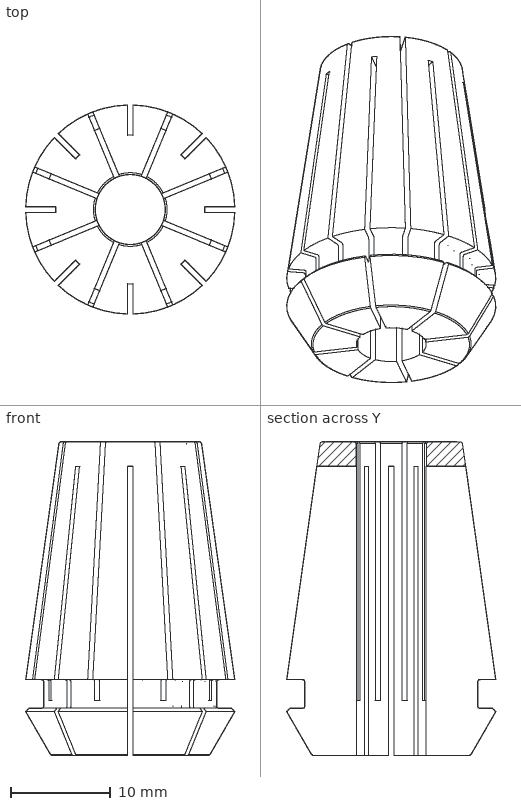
import cadquery as cq
import math

length = 31.5
max_radius = 10.5
bore_radius = 3.5

taper_half_angle = 8.0
taper_start_z = 7.6
top_fillet = 0.3
bore_chamfer = 0.2

head_half_angle = 30.0
head_height = 4.75
head_chamfer = 0.35
head_bottom_chamfer = 0.1
groove_radius = 8.7
groove_fillet = 0.2

slots_per_end = 8
slot_pitch = 360.0 / slots_per_end
slot_width = 0.55
bottom_slot_bridge = 2.5
bottom_slot_end_z = length - bottom_slot_bridge
top_slot_end_z = 5.5
slot_reach = max_radius + 1.0


def narrowing(axial_distance, half_angle):
    """Radius lost along a cone of the given half angle."""
    return axial_distance * math.tan(math.radians(half_angle))


def make_body():
    """Half section in the XZ plane, revolved about Z."""
    rim_z = head_height - head_chamfer
    head_bottom_radius = max_radius - narrowing(rim_z, head_half_angle)
    head_chamfer_radius = max_radius - narrowing(rim_z - head_bottom_chamfer, head_half_angle)
    taper_end_radius = max_radius - narrowing(length - taper_start_z, taper_half_angle)
    fillet_setback = top_fillet * math.tan(math.radians((90.0 - taper_half_angle) / 2))
    tangent_drop = fillet_setback * math.cos(math.radians(taper_half_angle))
    tangent_radius = taper_end_radius + narrowing(tangent_drop, taper_half_angle)
    fillet_outer_radius = groove_radius + groove_fillet

    section = (
        cq.Workplane("XZ")
        .moveTo(bore_radius, 0)
        .lineTo(head_bottom_radius - head_bottom_chamfer, 0)
        .lineTo(head_chamfer_radius, head_bottom_chamfer)
        .lineTo(max_radius, rim_z)
        .lineTo(max_radius - head_chamfer, head_height)
        .lineTo(fillet_outer_radius, head_height)
        .radiusArc((groove_radius, head_height + groove_fillet), groove_fillet)
        .lineTo(groove_radius, taper_start_z - groove_fillet)
        .radiusArc((fillet_outer_radius, taper_start_z), groove_fillet)
        .lineTo(max_radius, taper_start_z)
        .lineTo(tangent_radius, length - tangent_drop)
        .radiusArc((taper_end_radius - fillet_setback, length), -top_fillet)
        .lineTo(bore_radius + bore_chamfer, length)
        .lineTo(bore_radius, length - bore_chamfer)
        .close()
    )
    return section.revolve(360, (0, 0, 0), (0, 1, 0))


def cut_slots(body, width, low_z, high_z, first_angle):
    """Cut evenly spaced radial slots from the axis out through the wall."""
    slot = cq.Workplane("XY").box(slot_reach, width, high_z - low_z, centered=(False, True, False))
    slot = slot.translate((0, 0, low_z))
    for index in range(slots_per_end):
        angle = first_angle + index * slot_pitch
        body = body.cut(slot.rotate((0, 0, 0), (0, 0, 1), angle))
    return body


result = make_body()
result = cut_slots(result, slot_width, 0, bottom_slot_end_z, 0)
result = cut_slots(result, slot_width, top_slot_end_z, length, slot_pitch / 2)